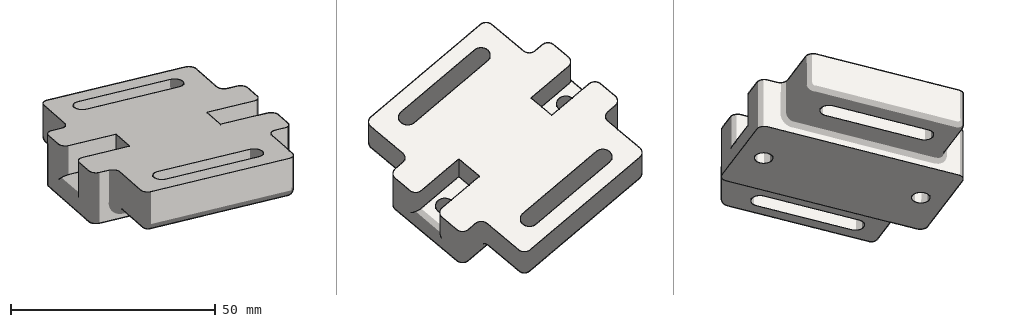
import cadquery as cq

side = 55.0
height = 14.0
edge_radius = 2.0

bar_width = 25.2
wing_depth = 42.0
wing_height = 11.0

hole_offset = 21.0
hole_diameter = 4.5
slot_length = 30.0

pocket_width = 7.15
pocket_depth = 8.0
pocket_length = 14.95

TOL = 0.005


def make_wings():
    """Plate with rounded corners and a rounded underside, flush with the top."""
    plate = (
        cq.Workplane("XY", origin=(0, 0, height - wing_height))
        .rect(side, wing_depth)
        .extrude(wing_height)
    )
    return plate.edges("|Z or <Z").fillet(edge_radius)


def make_body():
    """Bar and wings joined with concave fillets."""
    bar = cq.Workplane("XY").box(bar_width, side, height, centered=(True, True, False))
    bar = bar.edges("|Z").fillet(edge_radius)
    body = bar.union(make_wings())
    for sign in (-1, 1):
        x = sign * bar_width / 2
        junction = cq.selectors.BoxSelector(
            (x - TOL, -wing_depth / 2 - TOL, TOL),
            (x + TOL, wing_depth / 2 + TOL, height - TOL),
        )
        body = body.edges(junction).fillet(edge_radius)
    return body


def cut_pocket(body, sign):
    """Pocket open to the top and to one end, with a rounded mouth."""
    pocket = cq.Workplane("XY").box(
        pocket_width, pocket_length, pocket_depth
    ).translate((0, sign * (side - pocket_length) / 2, height - pocket_depth / 2))
    body = body.cut(pocket)
    y = sign * side / 2
    mouth = cq.selectors.BoxSelector(
        (-pocket_width / 2 - TOL, y - TOL, height - pocket_depth - TOL),
        (pocket_width / 2 + TOL, y + TOL, height - TOL),
    )
    return body.edges(mouth).fillet(edge_radius)


result = make_body()
for end in (-1, 1):
    result = cut_pocket(result, end)

slots = (
    cq.Workplane("XY")
    .pushPoints([(-hole_offset, 0), (hole_offset, 0)])
    .slot2D(slot_length, hole_diameter, 90)
    .extrude(height)
)
holes = (
    cq.Workplane("XY")
    .pushPoints([(0, -hole_offset), (0, hole_offset)])
    .circle(hole_diameter / 2)
    .extrude(height)
)
result = result.cut(slots).cut(holes)